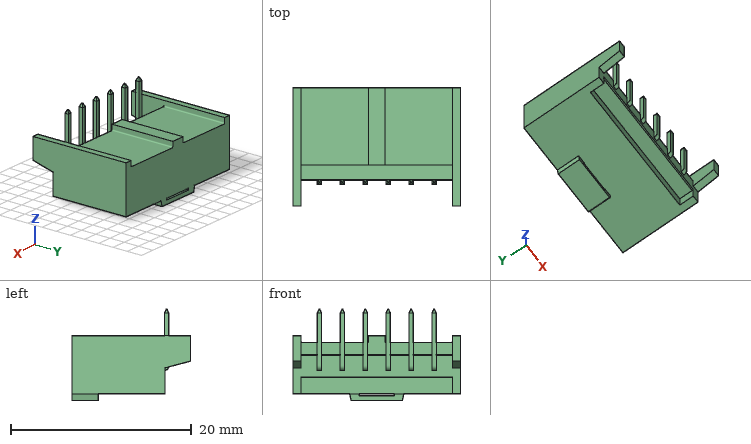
import cadquery as cq


width = 18.59
overall_depth = 13.15
housing_depth = 10.32
housing_height = 6.43
cheek_thickness = 0.91
inner_width = width - 2 * cheek_thickness

cheek_nose_z = 3.6
cheek_leg_top_z = 2.86

body_depth = 8.57
body_height = 5.69
slot_depth = 1.84
slot_height = 1.78
tail_top_z = 4.35
tail_bevel_depth = 0.15
tail_bevel_height = 0.1

rib_width = 1.84
corner_radius = 0.15

foot_length = 2.92
foot_height = 0.75
foot_top_width = 6.05
foot_bottom_width = 5.69
foot_gap_width = 3.87
foot_gap_height = 0.2

pin_count = 6
pin_row_span = 12.7
pin_pitch = pin_row_span / (pin_count - 1)
pin_size = 0.5
pin_front_y = -10.75
pin_bend_z = 3.09
pin_tip_z = 9.37
pin_tip_height = 0.43
pin_tip_flat = 0.1


def side_extrusion(points, x_start, length):
    """Extrude a (Y, Z) outline along +X from x_start."""
    return cq.Workplane("YZ", origin=(x_start, 0, 0)).polyline(points).close().extrude(length)


def make_cheek(x_start):
    outline = [
        (0, 0),
        (-housing_depth, 0),
        (-housing_depth, cheek_leg_top_z),
        (-overall_depth, cheek_nose_z),
        (-overall_depth, housing_height),
        (0, housing_height),
    ]
    return side_extrusion(outline, x_start, cheek_thickness)


def make_body():
    """Main block whose bevelled tail carries the pins and overhangs a slot at the lower front."""
    slot_rear_y = -housing_depth + slot_depth
    bevel_y = -housing_depth + tail_bevel_depth
    outline = [
        (0, 0),
        (slot_rear_y, 0),
        (slot_rear_y, slot_height),
        (bevel_y, slot_height),
        (-housing_depth, slot_height + tail_bevel_height),
        (-housing_depth, tail_top_z - tail_bevel_height),
        (bevel_y, tail_top_z),
        (-body_depth, tail_top_z),
        (-body_depth, body_height),
        (0, body_height),
    ]
    return side_extrusion(outline, -inner_width / 2, inner_width)


def make_rib():
    rib_height = housing_height - body_height
    return (
        cq.Workplane("XY")
        .box(rib_width, body_depth, rib_height, centered=(True, False, False))
        .translate((0, -body_depth, body_height))
    )


def make_corner_fillet(x_corner, direction):
    """Concave strip where the body top meets a wall; direction (+1 or -1) points away from the wall."""
    return (
        cq.Workplane("XZ")
        .moveTo(x_corner, body_height)
        .lineTo(x_corner + direction * corner_radius, body_height)
        .radiusArc((x_corner, body_height + corner_radius), direction * corner_radius)
        .close()
        .extrude(body_depth)
    )


def make_foot():
    """Tapered foot with a shallow gap between it and the body."""
    foot = (
        cq.Workplane("XZ")
        .polyline([
            (-foot_top_width / 2, 0),
            (foot_top_width / 2, 0),
            (foot_bottom_width / 2, -foot_height),
            (-foot_bottom_width / 2, -foot_height),
        ])
        .close()
        .extrude(foot_length)
    )
    gap = (
        cq.Workplane("XY")
        .box(foot_gap_width, foot_length, foot_gap_height, centered=(True, False, False))
        .translate((0, -foot_length, -foot_gap_height))
    )
    return foot.cut(gap)


def make_pin(x_center):
    """Square pin with a rounded bend at the bottom and a pyramid tip."""
    pin_back_y = pin_front_y + pin_size
    shoulder_z = pin_tip_z - pin_tip_height
    shank = (
        cq.Workplane("YZ", origin=(x_center - pin_size / 2, 0, 0))
        .moveTo(pin_back_y, pin_bend_z - pin_size)
        .radiusArc((pin_front_y, pin_bend_z), pin_size)
        .lineTo(pin_front_y, shoulder_z)
        .lineTo(pin_back_y, shoulder_z)
        .close()
        .extrude(pin_size)
    )
    tip = (
        cq.Workplane("XY", origin=(x_center, pin_front_y + pin_size / 2, shoulder_z))
        .rect(pin_size, pin_size)
        .workplane(offset=pin_tip_height)
        .rect(pin_tip_flat, pin_tip_flat)
        .loft()
    )
    return shank.union(tip)


result = make_body().union(make_rib()).union(make_foot())
result = result.union(make_cheek(-width / 2)).union(make_cheek(inner_width / 2))

for side in (-1, 1):
    result = result.union(make_corner_fillet(side * rib_width / 2, side))
    result = result.union(make_corner_fillet(side * inner_width / 2, -side))

for index in range(pin_count):
    result = result.union(make_pin(index * pin_pitch - pin_row_span / 2))